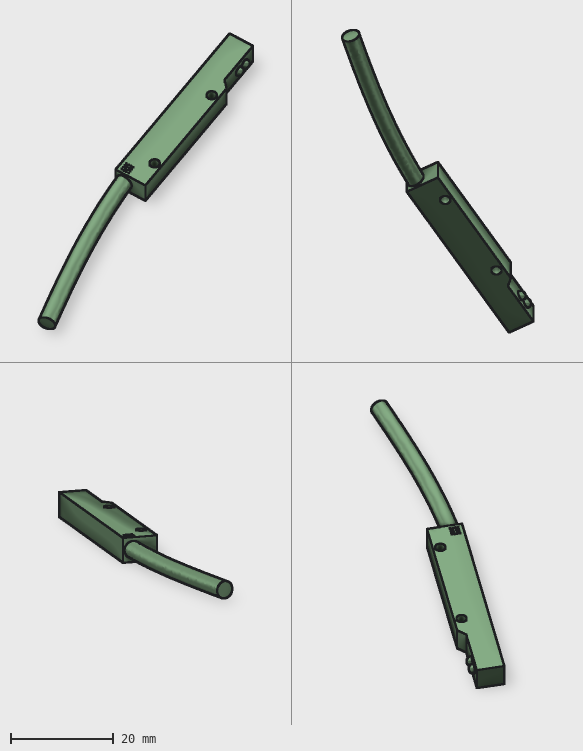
import cadquery as cq
import math

body_length = 40.0
body_width = 7.0
body_height = 5.0

head_length = 10.0
head_width = 5.5
step = body_width - head_width

hole_count = 2
hole_diameter = 2.0
hole_x = 5.5
hole_first_y = -14.5
hole_spacing = 20.0

dome_count = 2
dome_radius = 1.0
dome_first_y = -2.95
dome_spacing = 2.1

dimple_count = 4
dimple_pitch = 0.55
dimple_size = 0.1
dimple_depth = 0.1
dimple_grid_x = 1.75
dimple_grid_from_end = 1.6

cable_diameter = 3.5
cable_radius = cable_diameter / 2
cable_start_x = 2.05
cable_root_depth = 2.0
cable_start_angle = math.radians(3.0)
cable_end_angle = math.radians(14.0)
overall_length = 77.49
overall_width = 10.41
cable_end_x = overall_width - cable_radius * math.cos(cable_end_angle)
cable_end_y = -overall_length + cable_radius * math.sin(cable_end_angle)

mid_height = body_height / 2


def make_body():
    outline = [
        (0, 0),
        (head_width, 0),
        (head_width, -head_length),
        (body_width, -head_length - step),
        (body_width, -body_length),
        (0, -body_length),
    ]
    return cq.Workplane("XY").polyline(outline).close().extrude(body_height)


def make_mounting_holes():
    centers = [(hole_x, hole_first_y - i * hole_spacing) for i in range(hole_count)]
    return cq.Workplane("XY").pushPoints(centers).circle(hole_diameter / 2).extrude(body_height)


def make_domes():
    centers = [(head_width, dome_first_y - i * dome_spacing, mid_height) for i in range(dome_count)]
    return cq.Workplane("XY").pushPoints(centers).sphere(dome_radius)


def make_dimples():
    return (
        cq.Workplane("XY", origin=(dimple_grid_x, dimple_grid_from_end - body_length, body_height))
        .rarray(dimple_pitch, dimple_pitch, dimple_count, dimple_count)
        .rect(dimple_size, dimple_size)
        .extrude(-dimple_depth)
    )


def cable_direction(angle):
    """Unit direction in the XY plane, tilted from -Y toward +X by the angle."""
    return (math.sin(angle), -math.cos(angle))


def make_cable():
    root_y = -body_length + cable_root_depth
    root_x = cable_start_x - cable_root_depth * math.tan(cable_start_angle)
    ends = [(root_x, root_y), (cable_end_x, cable_end_y)]
    tangents = [cable_direction(cable_start_angle), cable_direction(cable_end_angle)]
    path = cq.Workplane("XY", origin=(0, 0, mid_height)).spline(ends, tangents=tangents)
    section_plane = cq.Plane(
        origin=(root_x, root_y, mid_height),
        xDir=(0, 0, 1),
        normal=(*tangents[0], 0),
    )
    return cq.Workplane(section_plane).circle(cable_radius).sweep(path)


result = (
    make_body()
    .union(make_domes())
    .union(make_cable())
    .cut(make_mounting_holes())
    .cut(make_dimples())
)